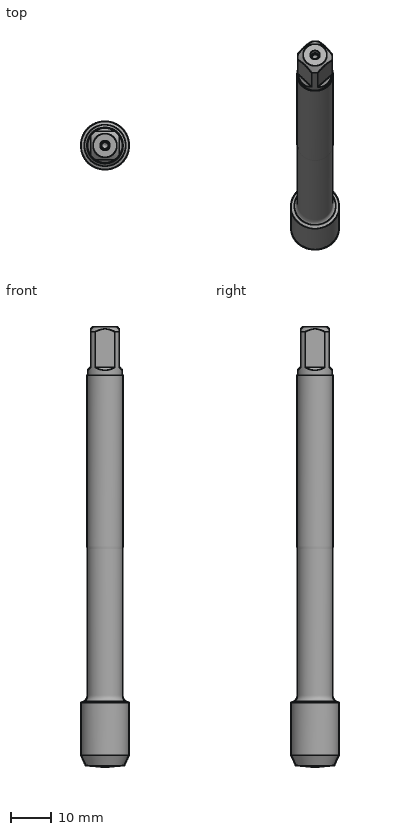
import cadquery as cq
import math

total_length = 110.0

head_diameter = 12.1
head_length = 16.2
rim_diameter = 9.7
rim_height = 0.4
lead_length = 3.1

collar_diameter = 10.3
collar_height = 0.3
blend_height = 1.4
neck_diameter = 8.9
shank_diameter = 9.0
shank_start = 54.5
step_chamfer_length = 0.7
shank_end = 97.9

drive_diameter = 8.7
drive_across_flats = 7.2
flat_count = 4
flat_start = 99.9
top_diameter = 5.9
top_chamfer_length = 1.3
center_hole_diameter = 1.6
center_hole_depth = 1.6
countersink_diameter = 2.4
countersink_angle = 60.0
drill_point_angle = 118.0


def revolve_profile(points):
    """Revolve (radius, height) points, closed along the axis, about Z."""
    return cq.Workplane("XZ").polyline(points).close().revolve(360, (0, 0, 0), (0, 1, 0))


def make_head():
    """Cylinder with a tapered lead, closed below by a very shallow cone."""
    head_radius = head_diameter / 2
    return revolve_profile([
        (0, 0),
        (rim_diameter / 2, rim_height),
        (head_radius, lead_length),
        (head_radius, head_length),
        (0, head_length),
    ])


def make_collar():
    """Shallow cone on top of the head, with a concave blend up to the neck."""
    neck_radius = neck_diameter / 2
    collar_radius = collar_diameter / 2
    collar_top = head_length + collar_height
    blend_top = collar_top + blend_height

    blend_width = collar_radius - neck_radius
    blend_radius = (blend_width**2 + blend_height**2) / (2 * blend_width)
    half_angle = math.asin(blend_height / blend_radius) / 2
    blend_middle = (
        neck_radius + blend_radius * (1 - math.cos(half_angle)),
        blend_top - blend_radius * math.sin(half_angle),
    )
    return (
        cq.Workplane("XZ")
        .moveTo(0, head_length)
        .lineTo(head_diameter / 2, head_length)
        .lineTo(collar_radius, collar_top)
        .threePointArc(blend_middle, (neck_radius, blend_top))
        .lineTo(0, blend_top)
        .close()
        .revolve(360, (0, 0, 0), (0, 1, 0))
    )


def make_shank_blank():
    neck_radius = neck_diameter / 2
    shank_radius = shank_diameter / 2
    drive_radius = drive_diameter / 2
    return revolve_profile([
        (0, head_length),
        (neck_radius, head_length),
        (neck_radius, shank_start),
        (shank_radius, shank_start + step_chamfer_length),
        (shank_radius, shank_end),
        (drive_radius, shank_end),
        (drive_radius, total_length - top_chamfer_length),
        (top_diameter / 2, total_length),
        (0, total_length),
    ])


def make_flat_cutter():
    """Block that cuts the +X flat, with a runout sloping down at 45 degrees."""
    inner = drive_across_flats / 2
    outer = shank_diameter
    runout = outer - inner
    return (
        cq.Workplane("XZ")
        .polyline([
            (inner, total_length),
            (inner, flat_start),
            (outer, flat_start - runout),
            (outer, total_length),
        ])
        .close()
        .extrude(shank_diameter, both=True)
    )


def make_center_hole():
    """Countersunk drilled hole with a conical bottom, as a solid to cut away."""
    hole_radius = center_hole_diameter / 2
    countersink_radius = countersink_diameter / 2
    countersink_depth = (countersink_radius - hole_radius) / math.tan(math.radians(countersink_angle / 2))
    point_length = hole_radius / math.tan(math.radians(drill_point_angle / 2))
    hole_bottom = total_length - center_hole_depth
    return revolve_profile([
        (0, total_length),
        (countersink_radius, total_length),
        (hole_radius, total_length - countersink_depth),
        (hole_radius, hole_bottom),
        (0, hole_bottom - point_length),
    ])


def make_shank():
    body = make_shank_blank().union(make_collar())
    for side in range(flat_count):
        body = body.cut(make_flat_cutter().rotate((0, 0, 0), (0, 0, 1), 360 / flat_count * side))
    return body.cut(make_center_hole())


head = make_head()
shank = make_shank()
result = cq.Compound.makeCompound([head.val(), shank.val()])